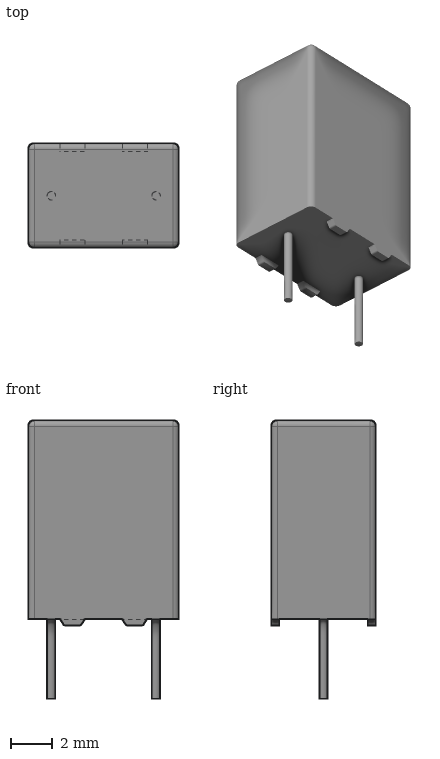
import cadquery as cq

total_height = 13.3
case_width = 7.2
case_depth = 5.0
lead_length = 3.8
case_height = total_height - lead_length
edge_radius = 0.29

lead_diameter = 0.4
lead_pitch = 5.0

foot_pitch = 2.97
foot_top_width = 1.2
foot_bottom_width = 0.8
foot_height = 0.3
foot_depth = 0.4
foot_corner_radius = 0.1


def make_case():
    """Box with rounded upright and top edges and a sharp bottom rim."""
    box = cq.Workplane("XY").box(case_width, case_depth, case_height, centered=(True, True, False))
    return box.edges("|Z or >Z").fillet(edge_radius)


def make_lead(x):
    """Straight round lead hanging below the case."""
    return cq.Workplane("XY").center(x, 0).circle(lead_diameter / 2).extrude(-lead_length)


def make_foot(x, y):
    """Foot centred on (x, y), tapering downwards to rounded lower corners."""
    outline = [
        (x - foot_top_width / 2, 0),
        (x + foot_top_width / 2, 0),
        (x + foot_bottom_width / 2, -foot_height),
        (x - foot_bottom_width / 2, -foot_height),
    ]
    profile = cq.Workplane("XZ", origin=(0, y, 0)).polyline(outline).close()
    foot = profile.extrude(foot_depth / 2, both=True)
    return foot.edges("|Y and <Z").fillet(foot_corner_radius)


result = make_case()
foot_y = (case_depth - foot_depth) / 2
for x_side in (-1, 1):
    result = result.union(make_lead(x_side * lead_pitch / 2))
    for y_side in (-1, 1):
        result = result.union(make_foot(x_side * foot_pitch / 2, y_side * foot_y))